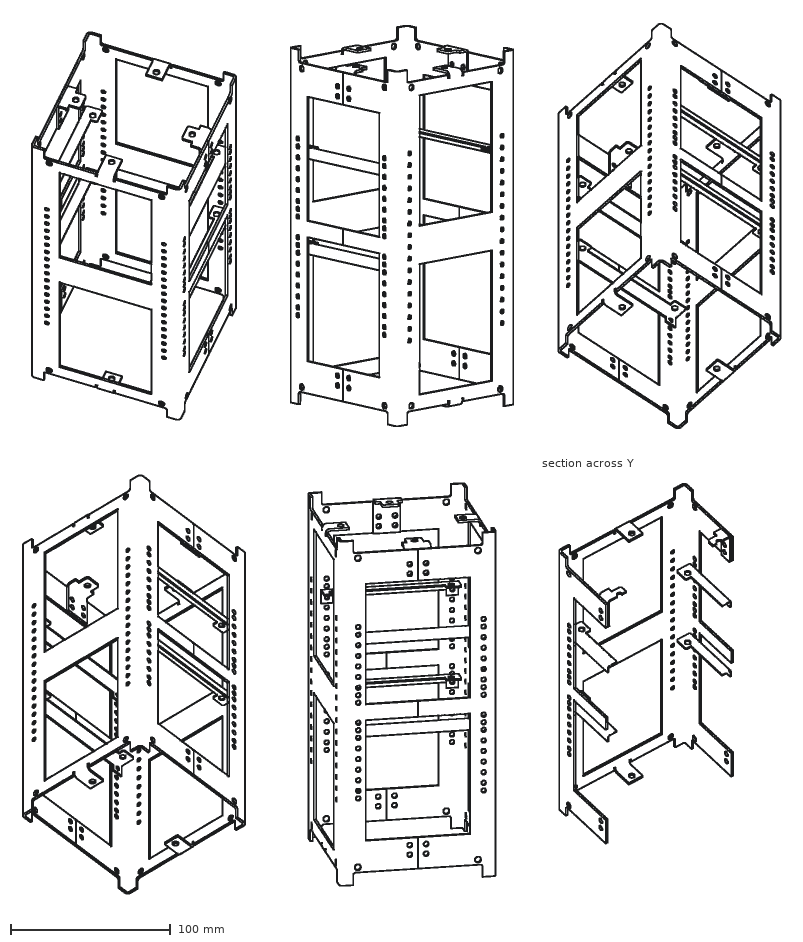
import cadquery as cq
import math


width = 100.0
height = 227.0
wall = 1.5
bend_radius = 2.5
foot_radius = 1.5
joint_gap = 0.2
half_width = width / 2
inner_face = half_width - wall

leg_edge = 41.3
band_end_z = 105.3
fold_z = 107.5
end_hole_z = 102.0
end_hole_diameter = 3.9

face_window_x = 30.9
face_window_z = (12.3, 95.8)
face_end_hole_x = 37.7
face_column_x = 39.3
face_column_top = {1: 60.0, -1: 56.0}
face_column_rows = 17
face_column_diameter = 2.7
tab_half_width = 5.5
tab_tip = 35.0
tab_hole_y = 39.0
tab_hole_diameter = 3.9
tab_bend_radius = 3.0
relief_half_width = 6.5
relief_z = 103.3

side_window_y = 33.4
side_window_z = (5.2, 84.7)
side_end_hole_y = 38.4
joint_hole_y = 5.2
joint_hole_z = (89.5, 95.8)
joint_hole_diameter = 3.2
rail_hole_y = {1: 38.1, -1: -42.0}
rail_hole_diameter = 3.0
rail_row_top = 51.5
rail_row_bottom = 16.5
rail_row_count = 6
extra_row_z = (56.5, 11.5, 6.5)

bracket_half_width = 8.6
bracket_ledge_x = 41.3
bracket_tip_x = 34.0
bracket_hole_x = 39.0
bracket_tip_radius = 1.5

rail_sheet = 1.0
rail_bend_radius = 1.5
rail_rise = 5.5
rail_end_margin = 3.9
rail_ledge_x = 41.3
rail_lug_x = 37.2
rail_lug_length = 9.8
rail_lug_radius = 1.1
rail_lug_hole_x = 41.5
rail_lug_hole_offset = 6.0
rail_lug_hole_diameter = 3.9

rail_row_pitch = (rail_row_top - rail_row_bottom) / (rail_row_count - 1)
rail_row_z = [rail_row_top - i * rail_row_pitch for i in range(rail_row_count)]
rail_positions = (rail_row_z[1], -rail_row_z[-1])


def block(x_range, y_range, z_range):
    """Box between two limits on each axis."""
    (x0, x1), (y0, y1), (z0, z1) = x_range, y_range, z_range
    return cq.Workplane("XY").box(x1 - x0, y1 - y0, z1 - z0, centered=False).translate((x0, y0, z0))


def ordered(a, b):
    return (min(a, b), max(a, b))


def hole_x(points, diameter):
    """Drills along X through both sides, at (y, z) points."""
    return cq.Workplane("YZ").pushPoints(points).circle(diameter / 2).extrude(width, both=True)


def hole_y(points, diameter, side):
    """Drills along Y through one face, at (x, z) points."""
    return cq.Workplane("XZ").pushPoints(points).circle(diameter / 2).extrude(-side * width)


def hole_z(points, diameter):
    """Drills along Z, at (x, y) points."""
    return cq.Workplane("XY").pushPoints(points).circle(diameter / 2).extrude(height, both=True)


def angle_profile(sheet, outer_radius, leg_x, leg_z):
    """L section in the XZ plane: corner at the origin, legs along -X and -Z."""
    inner_radius = outer_radius - sheet
    outer_mid = outer_radius * (1 - math.sqrt(0.5))
    inner_mid = sheet + inner_radius * (1 - math.sqrt(0.5))
    return (
        cq.Workplane("XZ")
        .moveTo(-leg_x, 0)
        .lineTo(-outer_radius, 0)
        .threePointArc((-outer_mid, -outer_mid), (0, -outer_radius))
        .lineTo(0, -leg_z)
        .lineTo(-sheet, -leg_z)
        .lineTo(-sheet, -outer_radius)
        .threePointArc((-inner_mid, -inner_mid), (-outer_radius, -sheet))
        .lineTo(-leg_x, -sheet)
        .close()
    )


def channel(side):
    """Plain channel with rounded corners, on the +Y or -Y side of the joint."""
    outer = cq.Workplane("XY").rect(width, width).extrude(height / 2, both=True)
    inner = cq.Workplane("XY").rect(2 * inner_face, 2 * inner_face).extrude(height / 2, both=True)
    tube = outer.edges("|Z").fillet(bend_radius).cut(inner.edges("|Z").fillet(bend_radius - wall))
    y_range = ordered(side * joint_gap / 2, side * half_width)
    return tube.intersect(block((-half_width, half_width), y_range, (-height / 2, height / 2)))


def end_cutouts(end):
    """Openings between the feet, on all four walls, at one end."""
    z_range = ordered(end * band_end_z, end * height)
    across_y = block((-leg_edge, leg_edge), (-width, width), z_range)
    across_x = block((-width, width), (-leg_edge, leg_edge), z_range)
    inner_end = "<Z" if end > 0 else ">Z"
    across_y = across_y.faces(inner_end).edges("|Y").fillet(foot_radius)
    across_x = across_x.faces(inner_end).edges("|X").fillet(foot_radius)
    return across_y.union(across_x)


def tab(side, end):
    """Tab folded inward from the end of one face."""
    length = half_width - tab_tip
    sheet = angle_profile(wall, tab_bend_radius, length, fold_z - relief_z)
    sheet = sheet.extrude(tab_half_width, both=True).rotate((0, 0, 0), (0, 0, 1), 90)
    sheet = sheet.translate((0, half_width, fold_z))
    sheet = sheet.cut(hole_z([(0, tab_hole_y)], tab_hole_diameter))
    if side < 0:
        sheet = sheet.mirror("XZ")
    if end < 0:
        sheet = sheet.mirror("XY")
    return sheet


def frame_half(side):
    """Channel with its windows, feet, folded tabs and holes."""
    half = channel(side)
    face = ordered(side * leg_edge, side * width)
    z_low, z_high = face_window_z
    side_low, side_high = side_window_z
    row_pitch = 2 * face_column_top[side] / (face_column_rows - 1)
    for end in (1, -1):
        half = half.cut(end_cutouts(end))
        half = half.cut(block((-face_window_x, face_window_x), face, ordered(end * z_low, end * z_high)))
        half = half.cut(
            block((-width, width), (-side_window_y, side_window_y), ordered(end * side_low, end * side_high))
        )
        reliefs = block((-relief_half_width, relief_half_width), face, ordered(end * relief_z, end * height))
        half = half.cut(reliefs).union(tab(side, end))

        face_points = [(x, end * end_hole_z) for x in (-face_end_hole_x, face_end_hole_x)]
        half = half.cut(hole_y(face_points, end_hole_diameter, side))
        half = half.cut(hole_x([(side * side_end_hole_y, end * end_hole_z)], end_hole_diameter))
        joint_points = [(side * joint_hole_y, end * z) for z in joint_hole_z]
        half = half.cut(hole_x(joint_points, joint_hole_diameter))
        rail_points = [(rail_hole_y[side], end * z) for z in (*rail_row_z, *extra_row_z)]
        half = half.cut(hole_x(rail_points, rail_hole_diameter))
    column_points = [
        (x, face_column_top[side] - row * row_pitch)
        for x in (-face_column_x, face_column_x)
        for row in range(face_column_rows)
    ]
    return half.cut(hole_y(column_points, face_column_diameter, side))


def splice_bracket(side):
    """Plate inside the upper band across the joint, with a folded tab."""
    z_bottom = side_window_z[1]
    bracket = angle_profile(wall, bend_radius, inner_face - bracket_tip_x, fold_z - z_bottom)
    bracket = bracket.extrude(bracket_half_width, both=True).translate((inner_face, 0, fold_z))
    for y_range in ((tab_half_width, width), (-width, -tab_half_width)):
        bracket = bracket.cut(block((0, bracket_ledge_x), y_range, (z_bottom, height)))
    bracket = bracket.edges("|Z and <X").fillet(bracket_tip_radius)
    bracket = bracket.cut(hole_z([(bracket_hole_x, 0)], tab_hole_diameter))
    joint_points = [(y, z) for y in (-joint_hole_y, joint_hole_y) for z in joint_hole_z]
    bracket = bracket.cut(hole_x(joint_points, joint_hole_diameter))
    return bracket if side > 0 else bracket.mirror("YZ")


def side_rail(side, hole_height):
    """Angle rail along Y with a mounting lug and a widened ledge at each end."""
    y_start = rail_hole_y[-1] - rail_end_margin
    y_end = rail_hole_y[1] + rail_end_margin
    top = hole_height + rail_rise
    bottom = hole_height - rail_end_margin
    rail = angle_profile(rail_sheet, rail_bend_radius, inner_face - rail_lug_x, top - bottom)
    rail = rail.extrude(-(y_end - y_start)).translate((inner_face, y_start, top))

    ledge_y = (y_start + rail_lug_length, y_end - rail_lug_length)
    rail = rail.cut(block((0, rail_ledge_x), ledge_y, (bottom, top)))
    lug_y = (y_start + 2 * rail_end_margin, y_end - 2 * rail_end_margin)
    rail = rail.cut(block((0, width), lug_y, (bottom, hole_height)))
    rail = rail.edges("|Z and <X").fillet(rail_lug_radius)

    mount_points = [(y, hole_height) for y in rail_hole_y.values()]
    rail = rail.cut(hole_x(mount_points, rail_hole_diameter))
    lug_hole_y = (y_start + rail_lug_hole_offset, y_end - rail_lug_hole_offset)
    lug_points = [(rail_lug_hole_x, y) for y in lug_hole_y]
    rail = rail.cut(hole_z(lug_points, rail_lug_hole_diameter))
    return rail if side > 0 else rail.mirror("YZ")


sides = (1, -1)
frame_halves = [frame_half(side).val() for side in sides]
splice_brackets = [splice_bracket(side).val() for side in sides]
side_rails = [side_rail(side, z).val() for side in sides for z in rail_positions]

result = cq.Compound.makeCompound([*frame_halves, *splice_brackets, *side_rails])